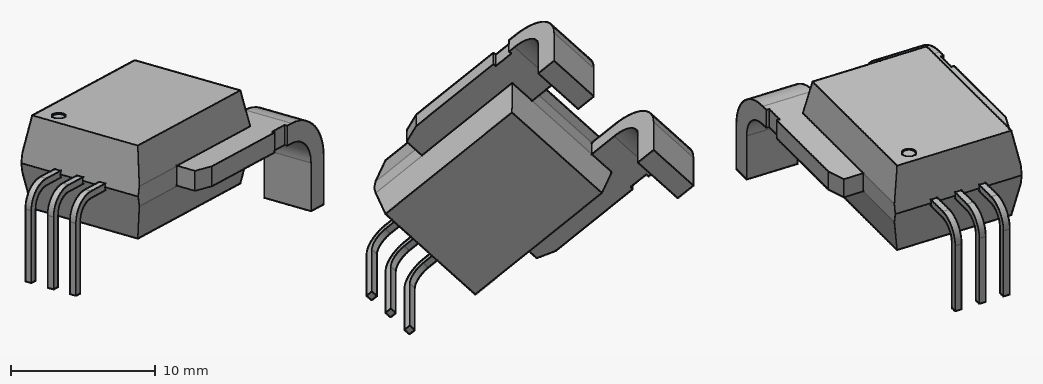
import cadquery as cq
import math


HOUSING_WIDTH = 10.0
HOUSING_LENGTH = 13.0
HOUSING_HEIGHT = 7.0
DRAFT_ANGLE = 10.0
MARK_RADIUS = 0.5
MARK_DEPTH = 0.11
MARK_X = -3.0
MARK_Y = -4.98

BAR_SPAN = 14.0
BAR_WIDTH = 4.01
BAR_THICKNESS = 1.5
BAR_INNER_RADIUS = 2.25
BAR_REAR_Y = 12.37
BAR_LENGTH = 14.45
BAR_BOTTOM_Z = -6.63
NOTCH_START = 4.28
NOTCH_LENGTH = 1.48
NOTCH_DEPTH = 0.22
CORNER_LENGTH = 1.35
CORNER_WIDTH = 0.47

OVERALL_LENGTH = 22.4
PIN_COUNT = 3
PIN_PITCH = 1.9
PIN_SIZE = 0.52
PIN_INNER_RADIUS = 1.28
PIN_BOTTOM_Z = -7.0
PIN_EMBEDDED_LENGTH = 1.0

HALF_WIDTH = HOUSING_WIDTH / 2
HALF_LENGTH = HOUSING_LENGTH / 2
HALF_HEIGHT = HOUSING_HEIGHT / 2
BAND_HALF = BAR_THICKNESS / 2
DRAFT_SLOPE = math.tan(math.radians(DRAFT_ANGLE))
DRAFT_INSET = (HALF_HEIGHT - BAND_HALF) * DRAFT_SLOPE
RIDGE_Y = -HALF_LENGTH - BAND_HALF * DRAFT_SLOPE
BAR_INNER_X = BAR_SPAN / 2 - BAR_WIDTH
BAR_FRONT_Y = BAR_REAR_Y - BAR_LENGTH
PIN_FRONT_Y = BAR_REAR_Y - OVERALL_LENGTH
PIN_END_Y = -HALF_LENGTH + PIN_EMBEDDED_LENGTH


def bent_strip(end_y, outer_y, bottom_z, thickness, inner_radius, width):
    """Strip centred on X = 0 and Z = 0 that runs from end_y and bends down at outer_y."""
    outward = math.copysign(1, outer_y - end_y)
    half = thickness / 2
    outer_radius = inner_radius + thickness
    bend_y = outer_y - outward * outer_radius
    bend_z = half - outer_radius
    inner_y = outer_y - outward * thickness
    diagonal = math.sqrt(0.5)

    def bend_middle(radius):
        return (bend_y + outward * radius * diagonal, bend_z + radius * diagonal)

    return (
        cq.Workplane("YZ")
        .moveTo(end_y, half)
        .lineTo(bend_y, half)
        .threePointArc(bend_middle(outer_radius), (outer_y, bend_z))
        .lineTo(outer_y, bottom_z)
        .lineTo(inner_y, bottom_z)
        .lineTo(inner_y, bend_z)
        .threePointArc(bend_middle(inner_radius), (bend_y, -half))
        .lineTo(end_y, -half)
        .close()
        .extrude(width / 2, both=True)
    )


def make_bar():
    """Right-hand current bar; its outer edge is notched and its front corner cut off."""
    outer_x = BAR_SPAN / 2
    bar = bent_strip(
        BAR_FRONT_Y, BAR_REAR_Y, BAR_BOTTOM_Z, BAR_THICKNESS, BAR_INNER_RADIUS, BAR_WIDTH
    ).translate((BAR_INNER_X + BAR_WIDTH / 2, 0, 0))
    notch = cq.Workplane("XY").box(2 * NOTCH_DEPTH, NOTCH_LENGTH, BAR_THICKNESS).translate(
        (outer_x, BAR_REAR_Y - NOTCH_START - NOTCH_LENGTH / 2, 0)
    )
    corner = (
        cq.Workplane("XY")
        .moveTo(outer_x, BAR_FRONT_Y)
        .lineTo(outer_x, BAR_FRONT_Y + CORNER_LENGTH)
        .lineTo(outer_x - CORNER_WIDTH, BAR_FRONT_Y)
        .close()
        .extrude(BAR_THICKNESS, both=True)
    )
    return bar.cut(notch).cut(corner)


def make_pin(x):
    """Square signal pin at the given X."""
    return bent_strip(
        PIN_END_Y, PIN_FRONT_Y, PIN_BOTTOM_Z, PIN_SIZE, PIN_INNER_RADIUS, PIN_SIZE
    ).translate((x, 0, 0))


def make_housing(inserts):
    """Drafted housing with an index mark and a matching recess for every insert."""
    side_profile = (
        cq.Workplane("YZ")
        .polyline([
            (RIDGE_Y, 0),
            (-HALF_LENGTH + DRAFT_INSET, HALF_HEIGHT),
            (HALF_LENGTH - DRAFT_INSET, HALF_HEIGHT),
            (HALF_LENGTH, BAND_HALF),
            (HALF_LENGTH, -BAND_HALF),
            (HALF_LENGTH - DRAFT_INSET, -HALF_HEIGHT),
            (-HALF_LENGTH + DRAFT_INSET, -HALF_HEIGHT),
        ])
        .close()
        .extrude(HOUSING_WIDTH, both=True)
    )
    front_profile = (
        cq.Workplane("XZ")
        .polyline([
            (HALF_WIDTH, BAND_HALF),
            (HALF_WIDTH - DRAFT_INSET, HALF_HEIGHT),
            (-HALF_WIDTH + DRAFT_INSET, HALF_HEIGHT),
            (-HALF_WIDTH, BAND_HALF),
            (-HALF_WIDTH, -BAND_HALF),
            (-HALF_WIDTH + DRAFT_INSET, -HALF_HEIGHT),
            (HALF_WIDTH - DRAFT_INSET, -HALF_HEIGHT),
            (HALF_WIDTH, -BAND_HALF),
        ])
        .close()
        .extrude(HOUSING_LENGTH, both=True)
    )
    mark = (
        cq.Workplane("XY", origin=(MARK_X, MARK_Y, HALF_HEIGHT))
        .circle(MARK_RADIUS)
        .extrude(-MARK_DEPTH)
    )
    housing = side_profile.intersect(front_profile).cut(mark)
    for insert in inserts:
        housing = housing.cut(insert)
    return housing


right_bar = make_bar()
bars = [right_bar, right_bar.mirror("YZ")]

pins = []
for index in range(PIN_COUNT):
    pins.append(make_pin((index - (PIN_COUNT - 1) / 2) * PIN_PITCH))

housing = make_housing(bars + pins)

result = cq.Compound.makeCompound([
    housing.solids().val(),
    *[bar.solids().val() for bar in bars],
    *[pin.solids().val() for pin in pins],
])